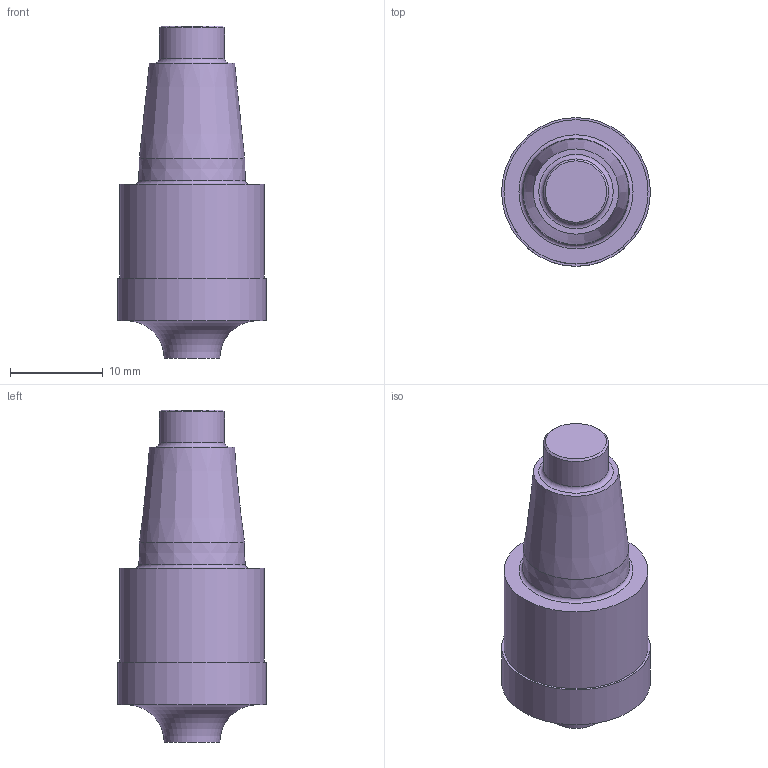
import cadquery as cq
import math


tip_radius = 3.0
flare_radius = 4.0
flange_radius = 8.0
flange_height = 4.6

barrel_radius = 7.75
barrel_height = 10.1
neck_base_radius = 5.75
neck_height = 2.8
neck_taper = 2.0
cone_height = 10.2
cone_taper = 6.0
pin_radius = 3.5
pin_height = 4.0
pin_chamfer = 0.2
neck_fillet = 0.4
pin_fillet = 0.5

flange_bottom = flare_radius
flange_top = flange_bottom + flange_height
barrel_top = flange_top + barrel_height
neck_top = barrel_top + neck_height
cone_top = neck_top + cone_height
pin_top = cone_top + pin_height

neck_top_radius = neck_base_radius - neck_height * math.tan(math.radians(neck_taper))
cone_top_radius = neck_top_radius - cone_height * math.tan(math.radians(cone_taper))


def revolve_about_z(profile):
    """Turn a closed half profile, drawn as (radius, height), about the Z axis."""
    return profile.revolve(360, (0, 0, 0), (0, 1, 0))


def circle_at(radius, height):
    """Select the circular edge of the given radius at the given height."""
    margin = 0.01
    reach = radius + margin
    return cq.selectors.BoxSelector(
        (-reach, -reach, height - margin), (reach, reach, height + margin), boundingbox=True
    )


def make_nose():
    """Flange with a concave flare that narrows down to a flat tip."""
    flare_outer_radius = tip_radius + flare_radius
    diagonal_offset = flare_radius * math.sqrt(0.5)
    flare_middle = (flare_outer_radius - diagonal_offset, diagonal_offset)
    profile = (
        cq.Workplane("XZ")
        .lineTo(tip_radius, 0)
        .threePointArc(flare_middle, (flare_outer_radius, flange_bottom))
        .lineTo(flange_radius, flange_bottom)
        .lineTo(flange_radius, flange_top)
        .lineTo(0, flange_top)
        .close()
    )
    return revolve_about_z(profile)


def make_shank():
    """Barrel, tapered neck, steeper cone and end pin, with filleted shoulders."""
    profile = (
        cq.Workplane("XZ")
        .moveTo(0, flange_top)
        .lineTo(barrel_radius, flange_top)
        .lineTo(barrel_radius, barrel_top)
        .lineTo(neck_base_radius, barrel_top)
        .lineTo(neck_top_radius, neck_top)
        .lineTo(cone_top_radius, cone_top)
        .lineTo(pin_radius, cone_top)
        .lineTo(pin_radius, pin_top)
        .lineTo(0, pin_top)
        .close()
    )
    shank = revolve_about_z(profile)
    shank = shank.edges(circle_at(neck_base_radius, barrel_top)).fillet(neck_fillet)
    shank = shank.edges(circle_at(pin_radius, cone_top)).fillet(pin_fillet)
    return shank.edges(circle_at(pin_radius, pin_top)).chamfer(pin_chamfer)


nose = make_nose()
shank = make_shank()

result = cq.Compound.makeCompound([nose.val(), shank.val()])